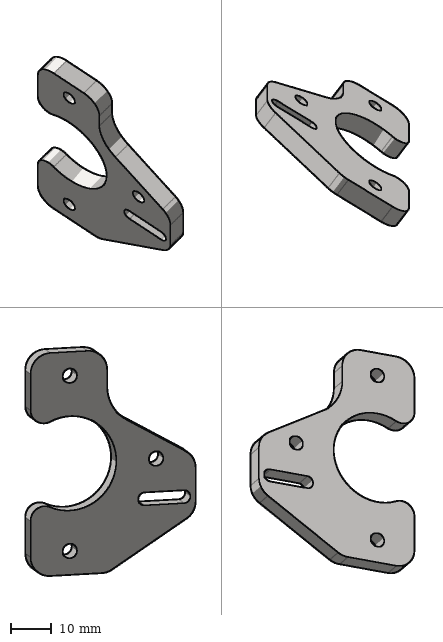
import cadquery as cq
import math

thickness = 5.0

hole_diameter = 3.6
hole_spacing = 31.0
hole_pitch_radius = hole_spacing / math.sqrt(2)
hole_angles = (0, 90, 270)
hole_margin = 6.0

left_x = -10.0
right_x = 32.0
neck_x = 9.5
top_z = hole_pitch_radius + hole_margin
bottom_z = -top_z
arm_slope_angle = 30.0
arm_top_z = 0.0
arm_bottom_z = bottom_z / 2
neck_corner_z = arm_top_z + (right_x - neck_x) * math.tan(math.radians(arm_slope_angle))
corner_radius = 5.0
neck_radius = 10.0

bore_radius = 11.8
lip_radius = 3.5

slot_width = 3.2
slot_travel = 10.0
slot_center_x = 24.0
slot_above_hole = 12.0
slot_center_z = slot_above_hole - hole_pitch_radius


def front_plane():
    """XZ sketch plane at Y = 0; extrusion runs toward -Y."""
    return cq.Workplane("XZ")


def round_corner(body, x, z, radius):
    """Round the Y-direction edge nearest to the outline corner (x, z)."""
    edge = cq.selectors.NearestToPointSelector((x, -thickness / 2, z))
    return body.edges("|Y").edges(edge).fillet(radius)


def make_plate():
    """Plate outline, each corner listed with its rounding radius."""
    corners = [
        (left_x, bottom_z, corner_radius),
        (neck_x, bottom_z, corner_radius),
        (right_x, arm_bottom_z, corner_radius),
        (right_x, arm_top_z, corner_radius),
        (neck_x, neck_corner_z, neck_radius),
        (neck_x, top_z, corner_radius),
        (left_x, top_z, corner_radius),
    ]
    outline = [(x, z) for x, z, _ in corners]
    body = front_plane().polyline(outline).close().extrude(thickness)
    for x, z, radius in corners:
        body = round_corner(body, x, z, radius)
    return body


def cut_bore(body):
    """Cut the round bore and open its mouth through the left edge between two convex lips."""
    body = body.cut(front_plane().circle(bore_radius).extrude(thickness))
    lip_x = left_x + lip_radius
    center_distance = bore_radius + lip_radius
    lip_z = math.sqrt(center_distance**2 - lip_x**2)
    tangent_x = lip_x * bore_radius / center_distance
    tangent_z = lip_z * bore_radius / center_distance
    start_angle = math.pi
    end_angle = 2 * math.pi + math.atan2(-lip_z, -lip_x)
    middle_angle = (start_angle + end_angle) / 2
    middle_x = lip_x + lip_radius * math.cos(middle_angle)
    middle_z = lip_z + lip_radius * math.sin(middle_angle)
    mouth = (
        front_plane()
        .moveTo(left_x, -lip_z)
        .lineTo(left_x, lip_z)
        .threePointArc((middle_x, middle_z), (tangent_x, tangent_z))
        .lineTo(tangent_x, -tangent_z)
        .threePointArc((middle_x, -middle_z), (left_x, -lip_z))
        .close()
        .extrude(thickness)
    )
    return body.cut(mouth)


def cut_holes(body):
    """Drill the mounting holes through the plate on their pitch circle."""
    for angle in hole_angles:
        x = hole_pitch_radius * math.cos(math.radians(angle))
        z = hole_pitch_radius * math.sin(math.radians(angle))
        hole = front_plane().center(x, z).circle(hole_diameter / 2).extrude(thickness)
        body = body.cut(hole)
    return body


def cut_slot(body):
    """Cut the round-ended adjustment slot through the plate."""
    slot = front_plane().center(slot_center_x, slot_center_z).slot2D(slot_travel + slot_width, slot_width)
    return body.cut(slot.extrude(thickness))


result = cut_slot(cut_holes(cut_bore(make_plate())))